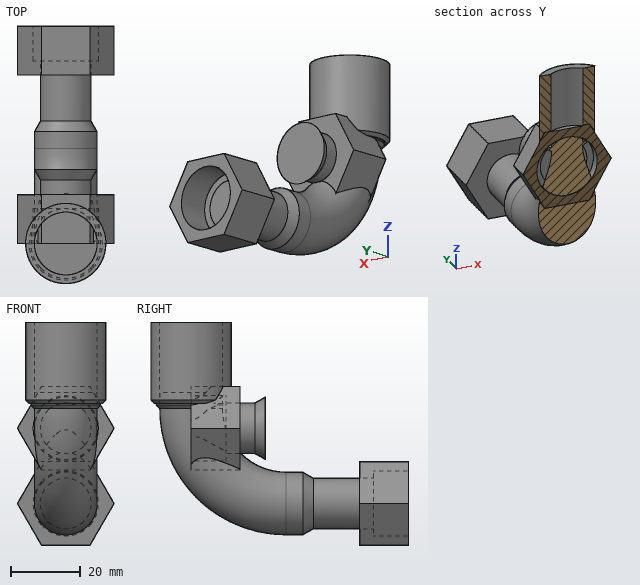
import cadquery as cq
import math

total_height = 63.8

nut_across_corners = 27.7
nut_across_flats = nut_across_corners * math.cos(math.radians(30))
nut_length = 14.0
nut_bore_diameter = 18.65
nut_bore_depth = 10.0
lower_axis_z = nut_across_flats / 2
upper_axis_z = lower_axis_z + 21.5
upper_nut_open_y = 0.0
lower_nut_open_y = 62.2

pipe_diameter = 18.0
bend_radius = 27.1
bend_end_z = lower_axis_z + bend_radius
pipe_end_y = 32.0

tail_diameter = 14.5
upper_flare_end_y = 21.2
flare_length = 3.0
lower_tail_reach = lower_nut_open_y - nut_bore_depth - pipe_end_y
upper_tail_reach = upper_flare_end_y - nut_bore_depth

collar_diameter = 20.0
collar_cone_height = (collar_diameter - pipe_diameter) / 2
collar_band_height = 0.45
collar_top_z = bend_end_z + collar_cone_height + collar_band_height
plug_top_z = 43.7

cup_diameter = 23.0
cup_chamfer = 1.0


def along_y(y, z, direction):
    """Workplane at (0, y, z) whose normal points along +Y (1) or -Y (-1)."""
    return cq.Workplane(cq.Plane(origin=(0, y, z), xDir=(1, 0, 0), normal=(0, direction, 0)))


def make_nut_blank(open_y, axis_z, direction):
    """Hexagon bar of the nut's length, without any bore."""
    return along_y(open_y, axis_z, direction).polygon(6, nut_across_corners).extrude(nut_length)


def make_nut(open_y, axis_z, direction):
    """Hexagon nut running from its wide-bored face toward its tail side."""
    body = make_nut_blank(open_y, axis_z, direction)
    wide_bore = along_y(open_y, axis_z, direction).circle(nut_bore_diameter / 2).extrude(nut_bore_depth)
    tail_hole = along_y(open_y, axis_z, direction).circle(tail_diameter / 2).extrude(nut_length)
    return body.cut(wide_bore).cut(tail_hole)


def make_tail(nut_open_y, axis_z, direction, reach):
    """Round tail from the floor of the nut bore, ending in a flare as wide as the pipe."""
    profile = [
        (0, 0),
        (tail_diameter / 2, 0),
        (tail_diameter / 2, reach - flare_length),
        (pipe_diameter / 2, reach),
        (0, reach),
    ]
    start_y = nut_open_y + direction * nut_bore_depth
    plane = cq.Plane(origin=(0, start_y, axis_z), xDir=(1, 0, 0), normal=(0, 0, direction))
    return cq.Workplane(plane).polyline(profile).close().revolve(360, (0, 0, 0), (0, 1, 0))


def make_collar():
    """Conical step, short band and plug on top of the bend."""
    profile = [
        (0, bend_end_z),
        (pipe_diameter / 2, bend_end_z),
        (collar_diameter / 2, bend_end_z + collar_cone_height),
        (collar_diameter / 2, collar_top_z),
        (pipe_diameter / 2, collar_top_z),
        (pipe_diameter / 2, plug_top_z),
        (0, plug_top_z),
    ]
    return cq.Workplane("XZ").polyline(profile).close().revolve(360, (0, 0, 0), (0, 1, 0))


def make_elbow():
    """Quarter bend with a short straight end toward +Y and the collar on top."""
    straight = along_y(bend_radius, lower_axis_z, 1).circle(pipe_diameter / 2).extrude(pipe_end_y - bend_radius)
    bend = (
        cq.Workplane("XY", origin=(0, 0, bend_end_z))
        .circle(pipe_diameter / 2)
        .revolve(90, (0, bend_radius, 0), (1, bend_radius, 0))
    )
    return bend.union(straight).union(make_collar())


def make_cup():
    """Open sleeve standing on the collar, chamfered around its lower edge."""
    return (
        cq.Workplane("XY", origin=(0, 0, collar_top_z))
        .circle(cup_diameter / 2)
        .extrude(total_height - collar_top_z)
        .faces("<Z")
        .chamfer(cup_chamfer)
        .cut(cq.Workplane("XY").circle(pipe_diameter / 2).extrude(total_height))
    )


connections = [
    (upper_nut_open_y, upper_axis_z, 1, upper_tail_reach),
    (lower_nut_open_y, lower_axis_z, -1, lower_tail_reach),
]
nuts = []
tails = []
for open_y, axis_z, direction, reach in connections:
    nuts.append(make_nut(open_y, axis_z, direction))
    tails.append(make_tail(open_y, axis_z, direction, reach))

upper_nut = nuts[0]
upper_tail = tails[0]
elbow = make_elbow().cut(upper_nut).cut(upper_tail)
cup = make_cup().cut(make_nut_blank(upper_nut_open_y, upper_axis_z, 1))

bodies = [elbow, cup, *nuts, *tails]
result = cq.Compound.makeCompound([body.val() for body in bodies])